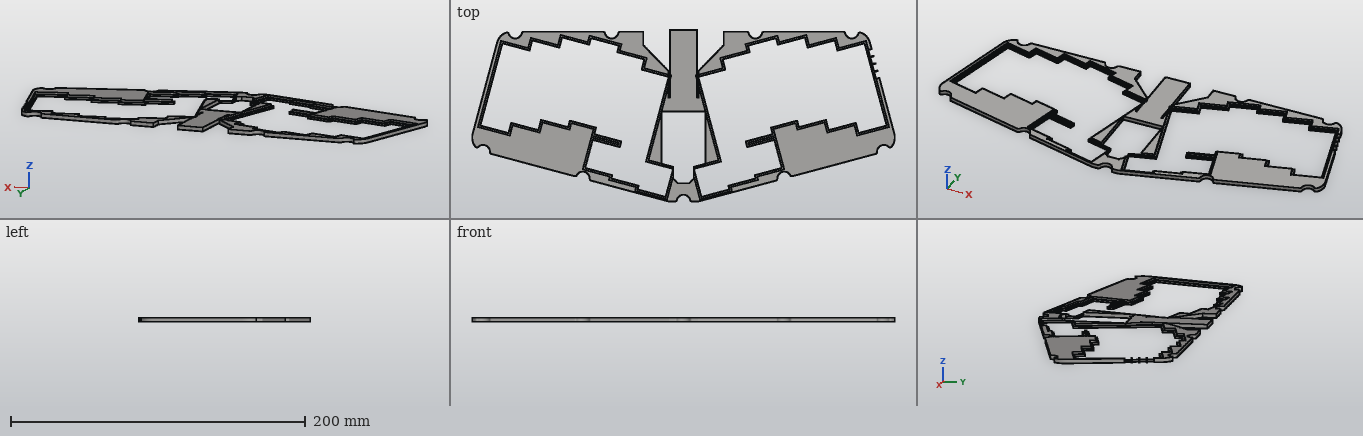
import cadquery as cq
import math

LENGTH = 286.8
THICKNESS = 3.0
TOP_Y = 57.4
BOTTOM_Y = -58.0
BOTTOM_V = -58.5
CORNER_RADIUS = 10.0

TONGUE_HALF_WIDTH = 9.2
TONGUE_TOP_Y = 58.5
SLIT_WIDTH = 1.0
SLIT_BOTTOM_Y = 12.5
WEB_END_Y = 30.7
WEB_CORNER_X = -27.2
WEB_CORNER_Y = 48.2

WINDOW_TOP_Y = 3.2
WINDOW_HALF_WIDTH = 15.0
NECK_HALF_WIDTH = 7.0
NECK_BOTTOM_Y = -45.3
NECK_CHAMFER = 3.0

TILT = 15.0
ROWS = 3
FIRST_COLUMN_U = -131.0
COLUMN_CENTERS_V = (-13.0, -5.7, 1.5, 6.0, 1.5, -5.7)
COLUMNS_WIDTH = 114.0
KEY_PITCH = COLUMNS_WIDTH / len(COLUMN_CENTERS_V)
THUMB_CENTERS_V = (-41.3, -43.5, -46.2)
FIRST_THUMB_COLUMN = 4
CLEARANCE = 0.3
LEDGE_WIDTH = 1.5
LEDGE_HEIGHT = 1.5

NOTCH_RADIUS = 4.5
MOUTH_FILLET = 1.5
BACK_NOTCHES_X = (-114.0, -48.7)
FRONT_NOTCHES_U = (-125.0, -55.0)

SLOT_COUNT = 4
SLOT_PITCH = 5.2
FINGER_WIDTH = 0.5
COMB_CENTER_V = 1.0

SIN = math.sin(math.radians(TILT))
COS = math.cos(math.radians(TILT))

CORNER_CENTER_X = CORNER_RADIUS - LENGTH / 2
LEFT_U = (CORNER_CENTER_X - (BOTTOM_V + CORNER_RADIUS) * SIN) / COS - CORNER_RADIUS


def x_on_u(u, y):
    """X of the point at height y on the tilted line of constant u (left hand)."""
    return (u + y * SIN) / COS


def y_on_v(v, x):
    """Y of the point at x on the tilted line of constant v (left hand)."""
    return (v - x * SIN) / COS


def to_plate(u, v):
    """Plate X, Y of a point given in the left hand's tilted key frame."""
    return (u * COS + v * SIN, v * COS - u * SIN)


def mirrored(body):
    """The same body on the other hand."""
    return body.mirror("YZ")


def tilted_box(u_min, u_max, v_min, v_max, z_min=0.0):
    """Block in the left hand's key frame, from z_min to the top face."""
    center = to_plate((u_min + u_max) / 2, (v_min + v_max) / 2)
    return (
        cq.Workplane("XY")
        .box(u_max - u_min, v_max - v_min, THICKNESS - z_min, centered=(True, True, False))
        .rotate((0, 0, 0), (0, 0, 1), -TILT)
        .translate((center[0], center[1], z_min))
    )


def edges_near(body, x, y, reach):
    """Upright edges of the plate within a square around x, y."""
    low = (x - reach, y - reach, 0)
    high = (x + reach, y + reach, THICKNESS)
    box = cq.selectors.BoxSelector(low, high)
    return body.edges("|Z").edges(box)


def blank():
    """Outline of both wings and the tongue, with rounded outer corners."""
    slit_x = -TONGUE_HALF_WIDTH - SLIT_WIDTH
    back_corner = (x_on_u(LEFT_U, TOP_Y), TOP_Y)
    front_corner = to_plate(LEFT_U, BOTTOM_V)
    left_half = [
        (-TONGUE_HALF_WIDTH, TONGUE_TOP_Y),
        (-TONGUE_HALF_WIDTH, SLIT_BOTTOM_Y),
        (slit_x, SLIT_BOTTOM_Y),
        (slit_x, WEB_END_Y),
        (WEB_CORNER_X, WEB_CORNER_Y),
        (WEB_CORNER_X, TOP_Y),
        back_corner,
        front_corner,
        ((BOTTOM_V - BOTTOM_Y * COS) / SIN, BOTTOM_Y),
    ]
    right_half = [(-x, y) for x, y in reversed(left_half)]
    body = cq.Workplane("XY").polyline(left_half + right_half).close().extrude(THICKNESS)
    for x, y in (back_corner, front_corner):
        for side in (1, -1):
            body = edges_near(body, side * x, y, CORNER_RADIUS / 2).fillet(CORNER_RADIUS)
    return body


def cut_notches(body):
    """Half-round notches with rounded mouths along the back and front edges."""
    left = [(x, TOP_Y) for x in BACK_NOTCHES_X]
    left += [to_plate(u, BOTTOM_V) for u in FRONT_NOTCHES_U]
    centers = left + [(-x, y) for x, y in left] + [(0.0, BOTTOM_Y)]
    body = body.cut(cq.Workplane("XY").pushPoints(centers).circle(NOTCH_RADIUS).extrude(THICKNESS))
    for x, y in centers:
        body = edges_near(body, x, y, NOTCH_RADIUS + MOUTH_FILLET / 2).fillet(MOUTH_FILLET)
    return body


def key_blocks(margin, z_min):
    """Union of the key columns and thumb keys of the left hand, grown by margin."""
    columns = [(i, v, ROWS) for i, v in enumerate(COLUMN_CENTERS_V)]
    thumbs = [(FIRST_THUMB_COLUMN + i, v, 1) for i, v in enumerate(THUMB_CENTERS_V)]
    blocks = cq.Workplane("XY")
    for index, center_v, rows in columns + thumbs:
        u = FIRST_COLUMN_U + index * KEY_PITCH
        half_height = rows * KEY_PITCH / 2 + margin
        v_min = center_v - half_height
        v_max = center_v + half_height
        blocks = blocks.union(tilted_box(u - margin, u + KEY_PITCH + margin, v_min, v_max, z_min))
    return blocks


def key_openings():
    """Through opening of the left hand with the wider recess that leaves a ledge."""
    opening = key_blocks(CLEARANCE, 0.0)
    recess = key_blocks(CLEARANCE + LEDGE_WIDTH, LEDGE_HEIGHT)
    return opening.union(recess)


def center_window():
    """Window below the tongue; it stops at the recess of the inner thumb keys."""
    recess_v = THUMB_CENTERS_V[-1] + KEY_PITCH / 2 + CLEARANCE + LEDGE_WIDTH
    left_half = [
        (-WINDOW_HALF_WIDTH, WINDOW_TOP_Y),
        (-WINDOW_HALF_WIDTH, y_on_v(recess_v, -WINDOW_HALF_WIDTH)),
        (-NECK_HALF_WIDTH, y_on_v(recess_v, -NECK_HALF_WIDTH)),
        (-NECK_HALF_WIDTH, NECK_BOTTOM_Y + NECK_CHAMFER),
        (-NECK_HALF_WIDTH + NECK_CHAMFER, NECK_BOTTOM_Y),
    ]
    right_half = [(-x, y) for x, y in reversed(left_half)]
    return cq.Workplane("XY").polyline(left_half + right_half).close().extrude(THICKNESS)


def comb_slots():
    """Row of slots open to the outside, leaving thin fingers between them."""
    inner_u = FIRST_COLUMN_U - CLEARANCE - LEDGE_WIDTH
    half_width = (SLOT_PITCH - FINGER_WIDTH) / 2
    slots = cq.Workplane("XY")
    for i in range(SLOT_COUNT):
        v = COMB_CENTER_V + (i - (SLOT_COUNT - 1) / 2) * SLOT_PITCH
        slots = slots.union(tilted_box(LEFT_U, inner_u, v - half_width, v + half_width))
    return mirrored(slots)


openings = key_openings()
result = cut_notches(blank())
result = result.cut(openings).cut(mirrored(openings))
result = result.cut(center_window()).cut(comb_slots())